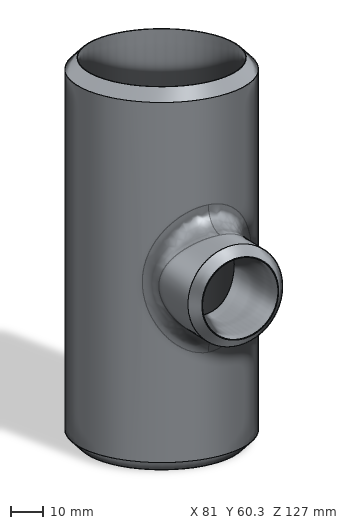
import cadquery as cq

run_length = 127.0
run_diameter = 60.3
run_wall = 4.0
run_bevel = 3.8

branch_reach = 50.8
branch_diameter = 33.7
branch_wall = 3.4
branch_bevel = 3.2

blend_radius = 7.6

run_radius = run_diameter / 2
branch_radius = branch_diameter / 2


def branch_cylinder(radius):
    """Cylinder from the run axis out to the branch end."""
    return cq.Workplane("YZ").circle(radius).extrude(branch_reach)


def run_cylinder(radius):
    """Full-length cylinder on the run axis."""
    return cq.Workplane("XY").circle(radius).extrude(run_length / 2, both=True)


body = run_cylinder(run_radius).union(branch_cylinder(branch_radius))
junction_box = cq.selectors.BoxSelector(
    (0, -run_radius, -run_length / 4),
    (run_radius + blend_radius, run_radius, run_length / 4),
    boundingbox=True,
)
body = body.edges(junction_box).fillet(blend_radius)

body = body.faces("<Z or >Z").edges().chamfer(run_bevel)
body = body.faces(">X").edges().chamfer(branch_bevel)

body = body.cut(run_cylinder(run_radius - run_wall))
result = body.cut(branch_cylinder(branch_radius - branch_wall))